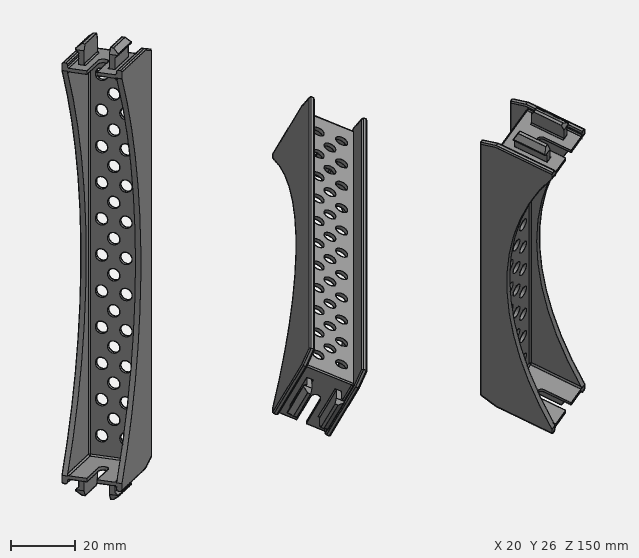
import cadquery as cq

width = 20.0
depth = 26.0
height = 150.0
front_y = -depth / 2
back_y = depth / 2

wall = 1.8
wall_half_height = 69.9
wall_back_half_height = 67.6
wall_front_half_height = 67.2
arc_apex_y = 3.3
slope_start_y = 7.4
wall_bevel = 0.5

plate = 1.2
web_back_y = 6.9
plate_bevel = 0.5
end_half_height = 68.2
inner_bevel = 0.52
outer_bevel = 0.5
inner_half_width = width / 2 - wall

hole_diameter = 4.0
hole_rows = 11
row_pitch = 12.0
column_pitch = 8.1

slot_width = 3.3
slot_end_y = -1.6

clip_inner_x = 4.2
clip_stem = 1.8
clip_tip = 1.0
barb_reach = 1.0
barb_base_height = 73.0
barb_lip = 0.5
clip_width = 11.7
clip_center_y = -3.0
clip_corner_width = 0.9
clip_corner_height = 2.0
clip_root_bevel = 0.5


def side_wall(side):
    """Side wall, bevelled on both faces along its back and end edges."""
    inner_x = side * inner_half_width
    blank = (
        cq.Workplane("YZ", origin=(inner_x, 0, 0))
        .moveTo(front_y, -wall_half_height)
        .lineTo(slope_start_y, -wall_half_height)
        .lineTo(back_y, -wall_back_half_height)
        .lineTo(back_y, wall_back_half_height)
        .lineTo(slope_start_y, wall_half_height)
        .lineTo(front_y, wall_half_height)
        .close()
        .extrude(side * wall)
    )
    rim = cq.selectors.BoxSelector(
        (-width, front_y + wall_bevel, -height),
        (width, depth, height),
    )
    return blank.faces("<X or >X").edges(rim).chamfer(wall_bevel)


def front_arc_cutter():
    """Segment that scoops the front edges of both walls."""
    return (
        cq.Workplane("YZ")
        .moveTo(front_y, -wall_front_half_height)
        .threePointArc((arc_apex_y, 0), (front_y, wall_front_half_height))
        .close()
        .extrude(width, both=True)
    )


def tray():
    """Web and two end plates, with bevelled corners inside and along the back edges."""
    inner_width = 2 * inner_half_width
    tray_depth = web_back_y - front_y
    block = cq.Workplane("XY").box(inner_width, tray_depth, 2 * end_half_height)
    block = block.translate((0, (web_back_y + front_y) / 2, 0))
    cavity_depth = tray_depth - plate
    cavity = cq.Workplane("XY").box(inner_width, cavity_depth, 2 * (end_half_height - plate))
    cavity = cavity.translate((0, front_y + cavity_depth / 2, 0))
    cavity = cavity.edges("not <Y").chamfer(inner_bevel)
    block = block.faces(">Y").edges("|X").chamfer(plate_bevel)
    return block.cut(cavity)


def top_corner_bevel():
    """Bevelled corner between the upper end plate and the +X wall."""
    return (
        cq.Workplane("XZ", origin=(0, web_back_y - plate_bevel, 0))
        .moveTo(inner_half_width - outer_bevel, end_half_height)
        .lineTo(inner_half_width, end_half_height + outer_bevel)
        .lineTo(inner_half_width, end_half_height)
        .close()
        .extrude(web_back_y - plate_bevel - front_y)
    )


def web_holes():
    """Staggered pairs and single holes along the web."""
    pairs = cq.Workplane("XZ").rarray(column_pitch, row_pitch, 2, hole_rows)
    singles = cq.Workplane("XZ").rarray(column_pitch, row_pitch, 1, hole_rows - 1)
    pairs = pairs.circle(hole_diameter / 2).extrude(depth, both=True)
    singles = singles.circle(hole_diameter / 2).extrude(depth, both=True)
    return pairs.union(singles)


def end_slot():
    """Round-ended slot through both end plates, open at the front."""
    radius = slot_width / 2
    straight_end = slot_end_y - radius
    return (
        cq.Workplane("XY")
        .moveTo(-radius, front_y)
        .lineTo(-radius, straight_end)
        .threePointArc((0, slot_end_y), (radius, straight_end))
        .lineTo(radius, front_y)
        .close()
        .extrude(height, both=True)
    )


def top_clip():
    """Hooked clip on the upper end plate, barb pointing to +X."""
    stem_x = clip_inner_x + clip_stem
    barb_x = stem_x + barb_reach
    top = height / 2
    clip = (
        cq.Workplane("XZ", origin=(0, clip_center_y, 0))
        .moveTo(clip_inner_x - clip_root_bevel, end_half_height - plate / 2)
        .lineTo(stem_x, end_half_height - plate / 2)
        .lineTo(stem_x, barb_base_height - barb_reach)
        .lineTo(barb_x, barb_base_height)
        .lineTo(barb_x, barb_base_height + barb_lip)
        .lineTo(clip_inner_x + clip_tip, top)
        .lineTo(clip_inner_x, top)
        .lineTo(clip_inner_x, end_half_height + clip_root_bevel)
        .lineTo(clip_inner_x - clip_root_bevel, end_half_height)
        .close()
        .extrude(clip_width / 2, both=True)
    )
    half_width = clip_width / 2
    envelope = (
        cq.Workplane("YZ", origin=(0, clip_center_y, 0))
        .moveTo(-half_width, 0)
        .lineTo(-half_width, top - clip_corner_height)
        .lineTo(clip_corner_width - half_width, top)
        .lineTo(half_width - clip_corner_width, top)
        .lineTo(half_width, top - clip_corner_height)
        .lineTo(half_width, 0)
        .close()
        .extrude(width)
    )
    return clip.intersect(envelope)


body = side_wall(1).union(side_wall(-1)).cut(front_arc_cutter())
body = body.union(tray()).cut(web_holes()).cut(end_slot())
end_detail = top_clip().union(top_corner_bevel())
top_details = end_detail.union(end_detail.mirror("YZ"))
result = body.union(top_details).union(top_details.mirror("XY"))